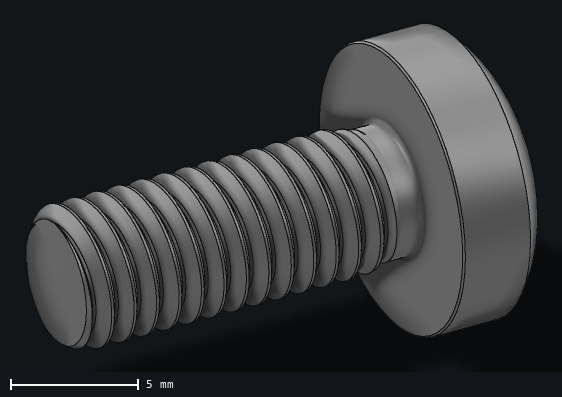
import cadquery as cq
import math


total_length = 19.6
head_height = 4.6
head_radius = 6.0
dome_height = 1.55
dome_flat_radius = 3.05
dome_bulge = 0.25
edge_chamfer = 0.08

shank_length = total_length - head_height
neck_radius = 2.69
neck_length = 1.02
neck_fillet = 0.25

pitch = 1.0
major_radius = 3.0
root_radius = 2.37
crest_width = pitch / 8
flank_angle = 30
root_overlap = 0.05
run_in_length = 1.14
tip_radius = 2.63
tip_taper_length = 0.59
envelope_margin = 0.92
end_radius = 2.45
end_cone_height = 0.02


def revolve(outline):
    """Turn a closed (radius, Y) outline about the Y axis."""
    return outline.close().revolve(360, (0, 0, 0), (0, 1, 0))


def make_head():
    rim_radius = head_radius - edge_chamfer
    dome_base = head_height - dome_height
    chord_run = rim_radius - dome_flat_radius
    chord = math.hypot(chord_run, dome_height)
    dome_middle = (
        (rim_radius + dome_flat_radius) / 2 + dome_bulge * dome_height / chord,
        dome_base + dome_height / 2 + dome_bulge * chord_run / chord,
    )
    return revolve(
        cq.Workplane("XY")
        .lineTo(rim_radius, 0)
        .lineTo(head_radius, edge_chamfer)
        .lineTo(head_radius, dome_base - edge_chamfer)
        .lineTo(rim_radius, dome_base)
        .threePointArc(dome_middle, (dome_flat_radius, head_height))
        .lineTo(0, head_height)
    )


def make_neck():
    return revolve(
        cq.Workplane("XY")
        .lineTo(neck_radius + neck_fillet, 0)
        .radiusArc((neck_radius, -neck_fillet), -neck_fillet)
        .lineTo(neck_radius, -neck_length)
        .lineTo(0, -neck_length)
    )


def make_core():
    end_edge = end_cone_height - shank_length
    return revolve(
        cq.Workplane("XY")
        .lineTo(root_radius, 0)
        .lineTo(root_radius, end_edge)
        .lineTo(end_radius, end_edge)
        .lineTo(0, -shank_length)
    )


def make_thread_envelope():
    """Double cone that trims the ridge at the neck and at the tip.

    It runs wider than the thread, so the crest between the tapers stays uncut.
    """
    end_edge = end_cone_height - shank_length
    envelope_radius = major_radius + envelope_margin
    run_in_rate = run_in_length / (major_radius - neck_radius)
    tip_rate = tip_taper_length / (major_radius - tip_radius)
    return revolve(
        cq.Workplane("XY")
        .moveTo(0, -neck_length)
        .lineTo(neck_radius, -neck_length)
        .lineTo(envelope_radius, -neck_length - run_in_rate * (envelope_radius - neck_radius))
        .lineTo(envelope_radius, end_edge + tip_rate * (envelope_radius - tip_radius))
        .lineTo(tip_radius, end_edge)
        .lineTo(0, end_edge)
    )


def make_ridge():
    """Helical ridge that overruns both ends of the thread, built from ruled faces."""
    inner_radius = root_radius - root_overlap
    half_crest = crest_width / 2
    flank_run = (major_radius - inner_radius) * math.tan(math.radians(flank_angle))
    half_base = half_crest + flank_run
    turns = math.floor(shank_length / pitch) + 1
    length = turns * pitch
    profile = [
        (inner_radius, -half_base),
        (major_radius, -half_crest),
        (major_radius, half_crest),
        (inner_radius, half_base),
    ]
    edges = [
        cq.Wire.makeHelix(pitch, length, radius).translate(cq.Vector(0, 0, height))
        for radius, height in profile
    ]
    faces = [
        cq.Face.makeRuledSurface(edge, edges[(index + 1) % len(edges)])
        for index, edge in enumerate(edges)
    ]
    for end in (0, length):
        corners = [cq.Vector(radius, 0, height + end) for radius, height in profile]
        faces.append(cq.Face.makeFromWires(cq.Wire.makePolygon(corners, close=True)))
    ridge = cq.Workplane(obj=cq.Solid.makeSolid(cq.Shell.makeShell(faces)))
    return ridge.rotate((0, 0, 0), (1, 0, 0), -90).translate((0, -shank_length - pitch, 0))


thread = make_ridge().intersect(make_thread_envelope())
result = make_core().union(thread).union(make_neck()).union(make_head())